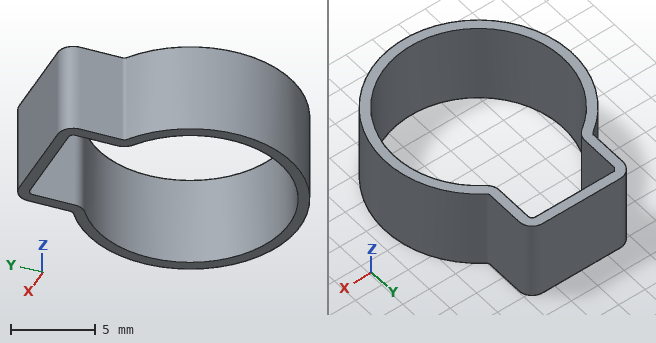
import cadquery as cq
import math

height = 6.0
thickness = 0.7
ring_radius = 7.09
ear_width = 7.86
total_length = 16.87
tight_bend = 0.3
wide_bend = tight_bend + thickness

ear_top = total_length - ring_radius

neck_x = ear_width / 2 + tight_bend
neck_y = math.sqrt((ring_radius + tight_bend) ** 2 - neck_x ** 2)
neck_angle = math.atan2(neck_y, neck_x)


def strip_face(inset, corner_radius, neck_radius):
    """Solid bounded by the strip face lying `inset` inside the outer face."""
    radius = ring_radius - inset
    side = ear_width / 2 - inset
    top = ear_top - inset
    ring_x = radius * math.cos(neck_angle)
    ring_y = radius * math.sin(neck_angle)

    mid_angle = math.pi + neck_angle / 2
    neck_mid_x = neck_x + neck_radius * math.cos(mid_angle)
    neck_mid_y = neck_y + neck_radius * math.sin(mid_angle)

    corner_x = side - corner_radius
    corner_y = top - corner_radius
    corner_mid = corner_radius * math.sqrt(0.5)

    return (
        cq.Workplane("XY")
        .moveTo(-ring_x, ring_y)
        .threePointArc((0, -radius), (ring_x, ring_y))
        .threePointArc((neck_mid_x, neck_mid_y), (side, neck_y))
        .lineTo(side, corner_y)
        .threePointArc((corner_x + corner_mid, corner_y + corner_mid), (corner_x, top))
        .lineTo(-corner_x, top)
        .threePointArc((-corner_x - corner_mid, corner_y + corner_mid), (-side, corner_y))
        .lineTo(-side, neck_y)
        .threePointArc((-neck_mid_x, neck_mid_y), (-ring_x, ring_y))
        .close()
        .extrude(height)
    )


outer = strip_face(0, wide_bend, tight_bend)
inner = strip_face(thickness, tight_bend, wide_bend)
result = outer.cut(inner)